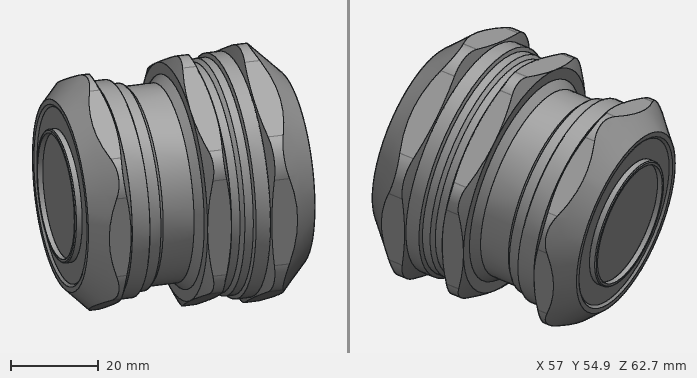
import cadquery as cq
import math

length = 54.9

cap_flats = 52.05
cap_corner = 9.2
body_flats = 54.95
body_corner = 6.85
end_flats = 57.0
end_corner = 10.05

cap_front = 1.05
cap_back = 10.65
body_front = 27.85
body_back = 33.7
end_front = 42.6

cap_face_radius = 22.2
cap_back_radius = 50.0 / 2
cap_front_chamfer = 6.4
cap_back_chamfer = 2.1
body_front_radius = 27.5
body_front_chamfer = 1.6
body_back_radius = 27.1
body_back_chamfer = 1.6
end_front_radius = 27.8
end_front_chamfer = 1.1
end_back_radius = 22.6
end_back_chamfer = 8.8

neck_radius = 46.0 / 2
step_radius = 47.8 / 2
cap_collar_radius = 50.2 / 2
cone_radius = 24.8
groove_radius = 53.2 / 2
seal_radius = 54.7 / 2
end_collar_radius = 56.6 / 2
cap_collar_end = 14.85
step_start = 15.2
step_end = 17.8
neck_start = 18.6
neck_end = 25.95
groove_end = 35.8
seal_start = 36.75
seal_end = 38.75
end_collar_start = 39.15

bore_mouth_radius = 42.0 / 2
bore_radius = 40.8 / 2
bore_depth = 0.55
plug_radius = 30.8 / 2
plug_recess_radius = 29.1 / 2
plug_recess_depth = 1.25
plug_edge_chamfer = 0.25


def revolve_profile(points):
    """Turn (radius, position) points, closed onto the axis, about the Y axis."""
    outline = [(0, points[0][1])] + points + [(0, points[-1][1])]
    return cq.Workplane("XY").polyline(outline).close().revolve(360, (0, 0, 0), (0, 1, 0))


def hex_nut(flats, corner, front, back, front_radius, back_radius, front_chamfer, back_chamfer):
    """Rounded hexagon with flats facing +/-X, turned conically at both ends."""
    across_corners = flats / math.cos(math.pi / 6)
    crest = across_corners / 2 - corner * (1 / math.cos(math.pi / 6) - 1)
    prism = (
        cq.Workplane("XZ", origin=(0, front, 0))
        .transformed(rotate=(0, 0, 30))
        .polygon(6, across_corners)
        .extrude(front - back)
        .edges("|Y")
        .fillet(corner)
    )
    overrun = 0.3
    blank_radius = crest + overrun
    front_run = front_chamfer * (blank_radius - front_radius) / (crest - front_radius)
    back_run = back_chamfer * (blank_radius - back_radius) / (crest - back_radius)
    turned = revolve_profile([
        (front_radius, front),
        (blank_radius, front + front_run),
        (blank_radius, back - back_run),
        (back_radius, back),
    ])
    return prism.intersect(turned)


def barrel():
    return revolve_profile([
        (cap_collar_radius, cap_back),
        (cap_collar_radius, cap_collar_end),
        (step_radius, step_start),
        (step_radius, step_end),
        (neck_radius, neck_start),
        (neck_radius, neck_end),
        (cone_radius, body_front),
        (groove_radius, body_front),
        (groove_radius, groove_end),
        (seal_radius, seal_start),
        (seal_radius, seal_end),
        (end_collar_radius, end_collar_start),
        (end_collar_radius, end_front),
    ])


def front_bore():
    return revolve_profile([
        (bore_mouth_radius, cap_front),
        (bore_radius, cap_front + bore_depth),
    ])


def plug():
    floor = cap_front + bore_depth
    rim = revolve_profile([
        (plug_radius - plug_edge_chamfer, 0),
        (plug_radius, plug_edge_chamfer),
        (plug_radius, floor),
    ])
    recess = revolve_profile([
        (plug_recess_radius, 0),
        (plug_recess_radius, plug_recess_depth),
    ])
    return rim.cut(recess)


cap_nut = hex_nut(cap_flats, cap_corner, cap_front, cap_back,
                  cap_face_radius, cap_back_radius, cap_front_chamfer, cap_back_chamfer)
body_nut = hex_nut(body_flats, body_corner, body_front, body_back,
                   body_front_radius, body_back_radius, body_front_chamfer, body_back_chamfer)
end_nut = hex_nut(end_flats, end_corner, end_front, length,
                  end_front_radius, end_back_radius, end_front_chamfer, end_back_chamfer)

result = barrel().union(cap_nut).union(body_nut).union(end_nut)
result = result.cut(front_bore()).union(plug())